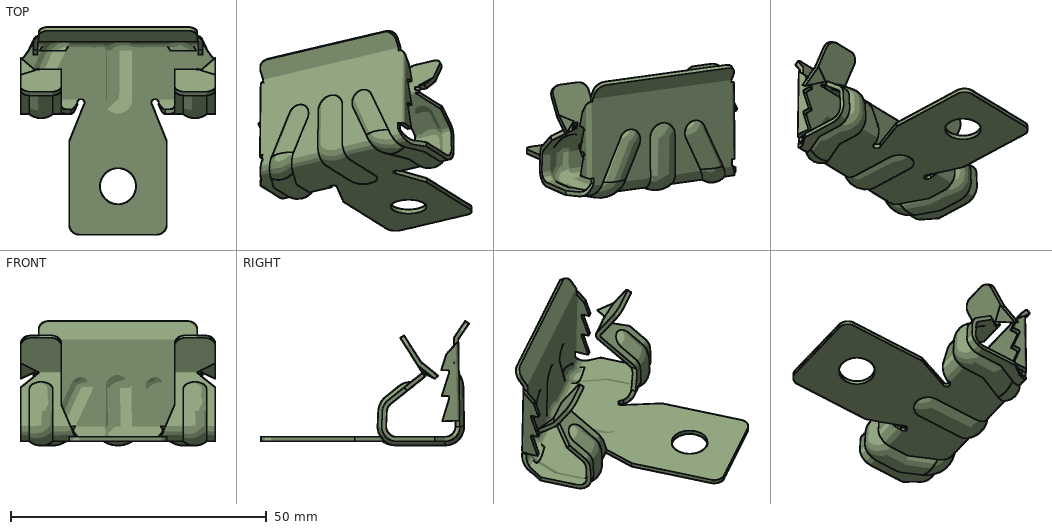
import cadquery as cq
import math

sheet = 0.9
inner_bend_radius = 2.0
bend_radius = inner_bend_radius + sheet / 2
half_width = 38.12 / 2
bend_sections = 5
cut_margin = 0.5
reach = 60
wall_foot_z = sheet + inner_bend_radius
seam_y = -7.7
back_bend_y = -2.9
front_bend_y = -12.4

wall_lean = 1.0
wall_length = 17.0
back_lip_lean = 34.0
back_lip_bend_radius = 0.1 + sheet / 2
back_lip_length = 3.66
back_half_width = 15.53

front_wall_lean = 2.5
front_wall_length = 2.85
leg_slope = 38.6
leg_length = 8.34
front_lip_heading = 122.5
front_lip_bend_radius = 0.33 + sheet / 2
front_lip_length = 7.8
leg_inner_x = 11.06
lip_corner_radius = 2.0

tab_end_y = -38.9
tab_half_width = 9.55
tab_taper_y = -20.6
tab_corner_radius = 2.0
hole_diameter = 7.0
hole_to_tab_end = 9.5

slot_radius = 0.7
slot_x = 7.26
slot_y = front_bend_y - slot_radius
flare = 0.429
leg_flare_z = 7.1

bead_depth = 0.84
bead_shoulder_radius = 0.9
groove_clearance = 0.3
centre_bead_half_width = 2.78
side_bead_half_width = 2.3
centre_bead_top_z = 10.43
side_bead_x = 15.04
side_bead_slope = 0.476
side_bead_top_z = 10.5
side_bead_leg_run = 3.5

taper_start_y = -4.96
taper_end_x = 17.5

flange_bend_inner = 0.12
flange_bottom_z = 4.0
flange_depth = 4.0
flange_top_z = 20.0
flange_inner_y = -0.95
tooth_foot = (-3.5, 3.9)
teeth = ((-3.6, 8.84), (-3.7, 13.88))
notch_y = -2.1
notch_radius = 0.36
crown = ((-2.7, 17.0), (-1.27, 18.62), (-0.2, 19.65))

bite_root = (15.45, -6.86, 13.47)
bite_shoulder = (half_width, -8.03, 15.28)
bite_heel_share = 0.2
bite_tip = (half_width, -4.6, 12.52)
leg_corner_start = 4.07
leg_corner_end_x = 15.5


def straight(length):
    return (length, 0.0)


def bend(radius, turn):
    return (radius * math.radians(abs(turn)), turn)


back_strip = [
    straight(back_bend_y - seam_y),
    bend(bend_radius, 90 + wall_lean),
    straight(wall_length),
    bend(back_lip_bend_radius, -(back_lip_lean + wall_lean)),
    straight(back_lip_length),
]
front_strip = [
    straight(seam_y - front_bend_y),
    bend(bend_radius, -(90 + front_wall_lean)),
    straight(front_wall_length),
    bend(bend_radius, leg_slope + front_wall_lean - 90),
    straight(leg_length),
    bend(front_lip_bend_radius, front_lip_heading - leg_slope),
    straight(front_lip_length),
]
BACK = (back_strip, 0.0, -1)
FRONT = (front_strip, 180.0, 1)


def run_to(strip, count):
    """Developed length of the first segments of a strip."""
    return sum(length for length, turn in strip[0][:count])


def walk(strip, distance):
    """Mid-surface point (y, z) and heading in degrees at a developed distance."""
    segments, heading = strip[:2]
    y, z = seam_y, sheet / 2
    for length, turn in segments:
        step = min(distance, length)
        swing = turn * step / length
        chord = step
        if turn:
            half = math.radians(swing) / 2
            chord = step * math.sin(half) / half if half else 0.0
        direction = math.radians(heading + swing / 2)
        y += chord * math.cos(direction)
        z += chord * math.sin(direction)
        heading += swing
        distance -= step
        if distance <= 0:
            break
    return y, z, heading


def offset_point(strip, distance, offset):
    """Point (y, z) at a distance to the left of the mid-surface."""
    y, z, heading = walk(strip, distance)
    angle = math.radians(heading + 90)
    return y + offset * math.cos(angle), z + offset * math.sin(angle)


def surface_plane(strip, x, distance):
    """Plane lying on the outer face: local x is X, local z points out of the sheet."""
    y, z = offset_point(strip, distance, strip[2] * sheet / 2)
    angle = math.radians(walk(strip, distance)[2] + 90 * strip[2])
    return cq.Plane((x, y, z), (1, 0, 0), (0, math.cos(angle), math.sin(angle)))


def section_plane(strip, x, distance):
    """Plane across the strip: local x is X, local y points out of the sheet."""
    face = surface_plane(strip, x, distance)
    return cq.Plane(face.origin, face.xDir, face.xDir.cross(face.zDir))


def bent_sheet(strip):
    """The strip at full width, extruded along X."""
    spans = []
    distance = 0.0
    for length, turn in strip[0]:
        spans.append((distance, distance + length, turn))
        distance += length

    def trace(outline, start, end, turn, offset):
        if turn:
            middle = offset_point(strip, (start + end) / 2, offset)
            return outline.threePointArc(middle, offset_point(strip, end, offset))
        return outline.lineTo(*offset_point(strip, end, offset))

    half = sheet / 2
    outline = cq.Workplane("YZ", origin=(-half_width, 0, 0)).moveTo(*offset_point(strip, 0, half))
    for start, end, turn in spans:
        outline = trace(outline, start, end, turn, half)
    outline = outline.lineTo(*offset_point(strip, distance, -half))
    for start, end, turn in reversed(spans):
        outline = trace(outline, end, start, turn, -half)
    return outline.close().extrude(2 * half_width)


def both_sides(body):
    return body.union(body.mirror("YZ"))


def round_free_corners(body, strip, edge_positions):
    """Round the corners at the free end of a strip."""
    y, z, heading = walk(strip, run_to(strip, len(strip[0])))
    for x in edge_positions:
        body = body.edges(cq.selectors.NearestToPointSelector((x, y, z))).fillet(lip_corner_radius)
    return body


def bend_trim(strip, index, x_far, x_start, x_end):
    """Cutter around a bend, from x_far to an edge running evenly from x_start to x_end."""
    wires = []
    for i in range(bend_sections):
        share = i / (bend_sections - 1)
        edge = x_start + (x_end - x_start) * share
        plane = section_plane(strip, 0, run_to(strip, index) + strip[0][index][0] * share)
        outline = cq.Workplane(plane).moveTo(x_far, cut_margin).lineTo(edge, cut_margin)
        outline = outline.lineTo(edge, -sheet - cut_margin).lineTo(x_far, -sheet - cut_margin)
        wires.append(outline.close().val())
    return cq.Workplane(cq.Solid.makeLoft(wires))


def back_part():
    beyond = half_width + cut_margin
    wall_trim = cq.Workplane("XY", origin=(back_half_width, back_bend_y, wall_foot_z)).box(
        reach, reach, reach, centered=False
    )
    base_trim = (
        cq.Workplane("XY", origin=(0, 0, -cut_margin))
        .polyline([
            (half_width, taper_start_y),
            (taper_end_x, back_bend_y),
            (beyond, back_bend_y),
            (beyond, taper_start_y),
        ])
        .close()
        .extrude(sheet + 2 * cut_margin)
    )
    body = bent_sheet(BACK)
    for cutter in (wall_trim, base_trim, bend_trim(BACK, 1, beyond, taper_end_x, back_half_width)):
        body = body.cut(both_sides(cutter))
    return round_free_corners(body, BACK, (back_half_width, -back_half_width))


def toothed_flange():
    outer = flange_bend_inner + sheet
    foot_rise = flange_bottom_z - wall_foot_z - cut_margin
    foot = surface_plane(BACK, back_half_width, run_to(BACK, 2) + foot_rise)
    lean = math.radians(90 + wall_lean)
    plane = cq.Plane(foot.origin, (1, 0, 0), (0, math.cos(lean), math.sin(lean)))
    diagonal = math.sqrt(0.5)
    folded = (
        cq.Workplane(plane)
        .moveTo(0, 0)
        .threePointArc((outer * diagonal, outer * (diagonal - 1)), (outer, -outer))
        .lineTo(outer, -flange_depth)
        .lineTo(flange_bend_inner, -flange_depth)
        .lineTo(flange_bend_inner, -outer)
        .threePointArc(
            (flange_bend_inner * diagonal, flange_bend_inner * diagonal - outer),
            (0, -sheet),
        )
        .close()
        .extrude(flange_top_z - flange_bottom_z)
    )
    behind_y = 1.0
    outline = (
        cq.Workplane("YZ", origin=(back_half_width - cut_margin, 0, 0))
        .moveTo(behind_y, flange_bottom_z)
        .lineTo(flange_inner_y, flange_bottom_z)
        .lineTo(*tooth_foot)
    )
    for tip_y, tip_z in teeth:
        outline = (
            outline.lineTo(notch_y, tip_z - notch_radius)
            .radiusArc((notch_y - notch_radius, tip_z), -notch_radius)
            .lineTo(tip_y, tip_z)
        )
    for point in crown:
        outline = outline.lineTo(*point)
    tooth_outline = outline.lineTo(behind_y, crown[-1][1]).close().extrude(outer + 2 * cut_margin)
    return folded.intersect(tooth_outline)


def front_part():
    flare_top_x = leg_inner_x - flare * (leg_flare_z - wall_foot_z)
    flare_base_x = flare_top_x - flare * front_strip[1][0]
    opening = (
        cq.Workplane("XZ", origin=(0, front_bend_y, 0))
        .polyline([
            (0, wall_foot_z),
            (flare_top_x, wall_foot_z),
            (leg_inner_x, leg_flare_z),
            (leg_inner_x, reach),
            (0, reach),
        ])
        .close()
        .extrude(reach)
    )
    upper_opening = cq.Workplane("XY", origin=(0, 0, leg_flare_z)).box(
        leg_inner_x, reach, reach, centered=(False, True, False)
    )
    body = bent_sheet(FRONT)
    for cutter in (opening, upper_opening, bend_trim(FRONT, 1, 0, flare_base_x, flare_top_x)):
        body = body.cut(both_sides(cutter))
    corners = (half_width, leg_inner_x, -leg_inner_x, -half_width)
    body = round_free_corners(body, FRONT, corners)
    return body.cut(both_sides(leg_corner_cut())).cut(both_sides(bite_clearance()))


def leg_corner_cut():
    """Removes the outer upper corner of the +X leg."""
    plane = surface_plane(FRONT, 0, run_to(FRONT, 4))
    top = leg_length + front_strip[5][0] / 4
    beyond = half_width + cut_margin
    return (
        cq.Workplane(plane)
        .polyline([
            (half_width, leg_corner_start),
            (leg_corner_end_x, top),
            (beyond, top),
            (beyond, leg_corner_start),
        ])
        .close()
        .extrude(-sheet - cut_margin)
    )


def bite_clearance():
    """Removes the +X lip corner below the fold of the biting corner."""
    leg_corner_start_z = offset_point(FRONT, run_to(FRONT, 4) + leg_corner_start, sheet / 2)[1]
    return (
        cq.Workplane("XZ", origin=(0, bite_tip[1], 0))
        .polyline([
            (bite_root[0], bite_root[2]),
            (bite_shoulder[0], bite_shoulder[2]),
            (half_width + cut_margin, bite_shoulder[2]),
            (half_width + cut_margin, leg_corner_start_z),
        ])
        .close()
        .extrude(bite_tip[1] - front_bend_y)
    )


def biting_corner():
    """Triangular plate on the +X side, folded back along the root-to-shoulder line."""
    root = cq.Vector(*bite_root)
    fold = cq.Vector(*bite_shoulder) - root
    tip = cq.Vector(*bite_tip) - root
    plane = cq.Plane(root, fold, fold.cross(tip))
    tip_local = plane.toLocalCoords(cq.Vector(*bite_tip))
    heel = bite_heel_share * fold.Length
    edge = (tip_local - cq.Vector(heel, 0, 0)).normalized()
    overrun = sheet
    plate = (
        cq.Workplane(plane)
        .polyline([
            (heel, 0),
            (fold.Length + overrun, 0),
            (tip_local.x + overrun * edge.x, tip_local.y + overrun * edge.y),
        ])
        .close()
        .extrude(sheet / 2, both=True)
    )
    fold_round = cq.Workplane(cq.Plane(root, tip, fold)).circle(sheet / 2).extrude(fold.Length + overrun)
    inside = cq.Workplane("XY").box(half_width, reach, reach, centered=(False, True, True))
    return plate.union(fold_round).intersect(inside)


def mounting_tab():
    neck_x = slot_x - slot_radius
    right_edge = [
        (slot_x, seam_y),
        (slot_x, slot_y),
        (neck_x, slot_y),
        (tab_half_width, tab_taper_y),
        (tab_half_width, tab_end_y),
    ]
    left_edge = [(-x, y) for x, y in reversed(right_edge)]
    plate = cq.Workplane("XY").polyline(right_edge + left_edge).close().extrude(sheet)
    plate = plate.edges("|Z and <Y").fillet(tab_corner_radius)
    hole_y = tab_end_y + hole_to_tab_end
    hole = cq.Workplane("XY").center(0, hole_y).circle(hole_diameter / 2).extrude(sheet)
    return plate.cut(hole)


def slot_ends():
    return (
        cq.Workplane("XY", origin=(0, 0, -cut_margin))
        .pushPoints([(slot_x, slot_y), (-slot_x, slot_y)])
        .circle(slot_radius)
        .extrude(sheet + 2 * cut_margin)
    )


def bulge_profile(plane, half, whole):
    """Outer section of a bead, or its right half for turning the ends."""
    radius = (half ** 2 + bead_depth ** 2) / (2 * bead_depth)
    lean = math.asin(half / radius) / 2
    middle = (radius * math.sin(lean), bead_depth - radius + radius * math.cos(lean))
    root = -sheet / 2
    if whole:
        outline = cq.Workplane(plane).moveTo(-half, root).lineTo(-half, 0)
        outline = outline.threePointArc((0, bead_depth), (half, 0))
    else:
        outline = cq.Workplane(plane).moveTo(0, root).lineTo(0, bead_depth)
        outline = outline.threePointArc(middle, (half, 0))
    return outline.lineTo(half, root).close()


def groove_profile(plane, half, whole):
    """Inner section of a bead: a round floor between two rounded shoulders."""
    centre_distance = (half ** 2 + bead_depth ** 2) / (2 * bead_depth)
    radius = centre_distance - bead_shoulder_radius
    lean = math.asin(half / centre_distance)
    bottom = bead_depth - sheet

    def on_floor(angle):
        return radius * math.sin(angle), bottom - radius + radius * math.cos(angle)

    contact = on_floor(lean)
    shoulder = (
        half - bead_shoulder_radius * math.sin(lean / 2),
        bead_shoulder_radius * (1 - math.cos(lean / 2)) - sheet,
    )
    clear = -sheet - groove_clearance
    if whole:
        outline = cq.Workplane(plane).moveTo(-half, clear).lineTo(-half, -sheet)
        outline = outline.threePointArc((-shoulder[0], shoulder[1]), (-contact[0], contact[1]))
        outline = outline.threePointArc((0, bottom), contact)
    else:
        outline = cq.Workplane(plane).moveTo(0, clear).lineTo(0, bottom)
        outline = outline.threePointArc(on_floor(lean / 2), contact)
    return outline.threePointArc(shoulder, (half, -sheet)).lineTo(half, clear).close()


def straight_bead(profile, strip, half, start, end, x_start, x_end):
    """Bead over a flat, from its square start to the line across the strip at its end."""
    foot = surface_plane(strip, x_start, start).origin
    target = surface_plane(strip, x_end, end).origin
    travel = target - foot
    outward = surface_plane(strip, x_start, start).zDir
    plane = cq.Plane(foot, outward.cross(travel), travel)
    slant = abs(x_end - x_start) / abs(end - start)
    body = profile(plane, half, True).extrude(travel.Length + half * slant)
    if slant:
        depth = reach if end < start else -reach
        end_plane = section_plane(strip, 0, end)
        body = body.intersect(cq.Workplane(end_plane).rect(2 * reach, 2 * reach).extrude(depth))
    return body


def bent_bead(profile, strip, half, index, x):
    """Bead straight around one of the large bends, turned about the bend axis."""
    axis = -(bend_radius + sheet / 2)
    section = profile(section_plane(strip, x, run_to(strip, index)), half, True)
    return section.revolve(abs(strip[0][index][1]), (0, axis), (-strip[2], axis))


def slanted_bent_bead(profile, strip, half, index, x_at):
    """Bead drifting sideways around a bend, lofted through sections across the strip."""
    start, end = run_to(strip, index), run_to(strip, index + 1)
    wires = []
    for i in range(bend_sections):
        distance = start + (end - start) * i / (bend_sections - 1)
        wires.append(profile(section_plane(strip, x_at(distance), distance), half, True).val())
    return cq.Workplane(cq.Solid.makeLoft(wires))


def bead_end(profile, strip, half, distance, x):
    """Round end of a bead, turned about the sheet normal."""
    return profile(section_plane(strip, x, distance), half, False).revolve(360, (0, 0), (0, 1))


def centre_bead(profile):
    half = centre_bead_half_width
    base, wall = run_to(BACK, 1), run_to(BACK, 2)
    top = wall + centre_bead_top_z - wall_foot_z
    front = run_to(FRONT, 1)
    return [
        bead_end(profile, FRONT, half, front, 0),
        straight_bead(profile, FRONT, half, front, 0, 0, 0),
        straight_bead(profile, BACK, half, 0, base, 0, 0),
        bent_bead(profile, BACK, half, 1, 0),
        straight_bead(profile, BACK, half, top, wall, 0, 0),
        bead_end(profile, BACK, half, top, 0),
    ]


def side_bead(profile):
    half = side_bead_half_width
    slanted_half = half * math.hypot(1, side_bead_slope)

    def slanted_x(distance):
        return side_bead_x - side_bead_slope * distance

    base, wall = run_to(BACK, 1), run_to(BACK, 2)
    top = wall + side_bead_top_z - wall_foot_z
    pieces = [
        bead_end(profile, BACK, half, top, slanted_x(top)),
        straight_bead(profile, BACK, half, top, wall, slanted_x(top), slanted_x(wall)),
        slanted_bent_bead(profile, BACK, slanted_half, 1, slanted_x),
        straight_bead(profile, BACK, half, 0, base, side_bead_x, slanted_x(base)),
        bead_end(profile, FRONT, half, 0, side_bead_x),
    ]
    marks = [run_to(FRONT, count) for count in range(5)]
    marks.append(marks[-1] + side_bead_leg_run)
    for index in (0, 2, 4):
        start, end = marks[index], marks[index + 1]
        pieces.append(straight_bead(profile, FRONT, half, start, end, side_bead_x, side_bead_x))
    for index in (1, 3):
        pieces.append(bent_bead(profile, FRONT, half, index, side_bead_x))
    pieces.append(bead_end(profile, FRONT, half, marks[-1], side_bead_x))
    return pieces


def all_beads(profile):
    one_side = side_bead(profile)
    other_side = [piece.mirror("YZ") for piece in one_side]
    return [piece.val() for piece in centre_bead(profile) + one_side + other_side]


blank = back_part().union(front_part()).union(mounting_tab()).cut(slot_ends())
blank = blank.union(both_sides(toothed_flange())).union(both_sides(biting_corner()))
bulged = blank.val().fuse(*all_beads(bulge_profile)).clean()
result = cq.Workplane(bulged.cut(*all_beads(groove_profile)).clean())